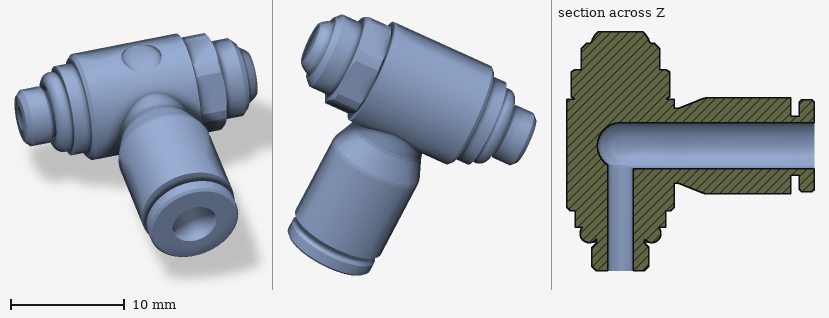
import cadquery as cq
import math


body_radius = 4.75
body_front = -5.71
body_back = 4.1
body_chamfer = 0.3

collar_radius = 4.0
seat_face = -7.17

oring_section_radius = 0.83
oring_outer_radius = 3.58
oring_centre = -7.7

thread_radius = 2.53
thread_front = -11.0
thread_back = -8.92
thread_chamfer = 0.44
core_radius = thread_radius - thread_chamfer

hex_sides = 6
hex_across_flats = 8.0
hex_corner_radius = 4.35
hex_back = 6.7
hex_face_radius = 4.01
hex_chamfer_angle = 30.0

cap_radius = 3.49
cap_back = 9.03
cap_chamfer = 0.5
knob_back = 10.05
knob_tip_radius = 1.96
knob_tip_chamfer = 0.25
knob_waist = 9.37
knob_waist_radius = 2.49
knob_base_radius = 2.65
flare_sag = 0.033

neck_radius = 3.31
sleeve_radius = 4.23
cone_start = 5.12
cone_end = 7.4
cone_blend_radius = 0.87
selection_margin = 0.02
sleeve_end = 15.0
collet_radius = 2.62
flange_radius = 4.05
flange_start = 15.7
flange_end = 17.05
flange_chamfer = 0.22

passage_radius = 1.1
tube_bore_radius = 2.0
recess_radius = 1.77
recess_floor = 4.4


def make_body():
    """Body, collar, cap and thread turned about Y, with the knob on the back end."""
    flare_mid_radius = (knob_waist_radius + knob_base_radius) / 2 - flare_sag
    flare_mid = (knob_waist + cap_back) / 2 - flare_sag
    profile = (
        cq.Workplane("XY")
        .moveTo(0, thread_front)
        .lineTo(core_radius, thread_front)
        .lineTo(thread_radius, thread_front + thread_chamfer)
        .lineTo(thread_radius, thread_back)
        .lineTo(core_radius, thread_back + thread_chamfer)
        .lineTo(core_radius, seat_face)
        .lineTo(collar_radius, seat_face)
        .lineTo(collar_radius, body_front)
        .lineTo(body_radius - body_chamfer, body_front)
        .lineTo(body_radius, body_front + body_chamfer)
        .lineTo(body_radius, body_back)
        .lineTo(cap_radius, body_back)
        .lineTo(cap_radius, cap_back - cap_chamfer)
        .lineTo(cap_radius - cap_chamfer, cap_back)
        .lineTo(knob_base_radius, cap_back)
        .threePointArc((flare_mid_radius, flare_mid), (knob_waist_radius, knob_waist))
        .lineTo(knob_tip_radius + knob_tip_chamfer, knob_back - knob_tip_chamfer)
        .lineTo(knob_tip_radius, knob_back)
        .lineTo(0, knob_back)
        .close()
    )
    return profile.revolve(360, (0, 0, 0), (0, 1, 0))


def make_oring():
    ring_radius = oring_outer_radius - oring_section_radius
    ring = (
        cq.Workplane("XY")
        .center(ring_radius, oring_centre)
        .circle(oring_section_radius)
        .revolve(360, (-ring_radius, 0, 0), (-ring_radius, 1, 0))
    )
    inside_collar = (
        cq.Workplane("XZ", origin=(0, seat_face, 0))
        .circle(collar_radius)
        .extrude(seat_face - body_front)
    )
    return ring.cut(inside_collar)


def make_hexagon():
    """Hexagon with two flats facing up and down, its corners turned and chamfered."""
    length = hex_back - body_back
    prism = (
        cq.Workplane("XZ", origin=(0, hex_back, 0))
        .polygon(hex_sides, hex_across_flats / math.cos(math.pi / hex_sides))
        .extrude(length)
    )
    drop = (hex_corner_radius - hex_face_radius) * math.tan(math.radians(hex_chamfer_angle))
    turned = (
        cq.Workplane("XY")
        .moveTo(0, body_back)
        .lineTo(hex_face_radius, body_back)
        .lineTo(hex_corner_radius, body_back + drop)
        .lineTo(hex_corner_radius, hex_back - drop)
        .lineTo(hex_face_radius, hex_back)
        .lineTo(0, hex_back)
        .close()
        .revolve(360, (0, 0, 0), (0, 1, 0))
    )
    return prism.intersect(turned)


def make_branch():
    """Neck, cone, sleeve and release collet turned about X."""
    profile = (
        cq.Workplane("XY")
        .lineTo(0, neck_radius)
        .lineTo(cone_start, neck_radius)
        .lineTo(cone_end, sleeve_radius)
        .lineTo(sleeve_end, sleeve_radius)
        .lineTo(sleeve_end, collet_radius)
        .lineTo(flange_start, collet_radius)
        .lineTo(flange_start, flange_radius - flange_chamfer)
        .lineTo(flange_start + flange_chamfer, flange_radius)
        .lineTo(flange_end - flange_chamfer, flange_radius)
        .lineTo(flange_end, flange_radius - flange_chamfer)
        .lineTo(flange_end, 0)
        .close()
    )
    turned = profile.revolve(360, (0, 0, 0), (1, 0, 0))
    cone_edges = cq.selectors.BoxSelector(
        (cone_start - selection_margin, -sleeve_radius, -sleeve_radius),
        (cone_end + selection_margin, sleeve_radius, sleeve_radius),
    )
    return turned.edges("%CIRCLE").edges(cone_edges).fillet(cone_blend_radius)


def make_passage():
    """Flow passage entering at the thread and opening into the round-ended tube bore of the branch."""
    inlet = cq.Workplane("XZ").circle(passage_radius).extrude(-thread_front)
    tube_bore = cq.Workplane("YZ").circle(tube_bore_radius).extrude(flange_end)
    bore_end = cq.Workplane("XY").sphere(tube_bore_radius)
    return inlet.union(tube_bore).union(bore_end)


def make_recess():
    """Round flat-bottomed recess in the top of the body."""
    return (
        cq.Workplane("XY", origin=(0, 0, recess_floor))
        .circle(recess_radius)
        .extrude(body_radius - recess_floor)
    )


result = (
    make_body()
    .union(make_oring())
    .union(make_hexagon())
    .union(make_branch())
    .cut(make_passage())
    .cut(make_recess())
)